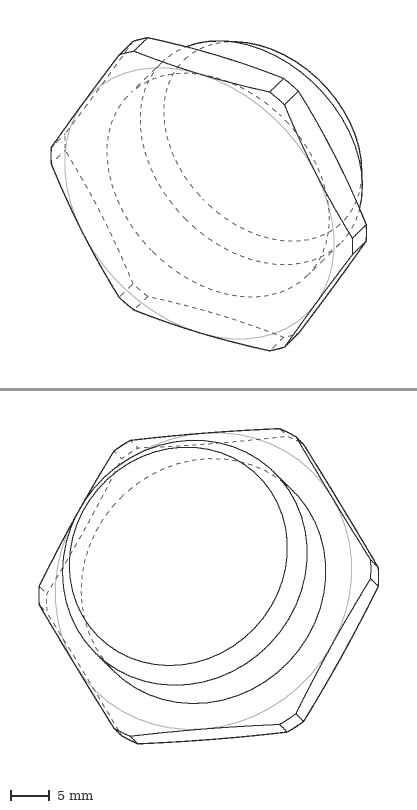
import cadquery as cq
import math

across_flats = 40.0
corner_diameter = 44.8
head_thickness = 5.0
head_chamfer_angle = 15.0

total_length = 17.0
plug_diameter = 33.0
tip_diameter = 29.45
tip_taper_angle = 30.0


def hexagon_prism():
    """Hexagon with corners on the X axis and flats facing +Z and -Z."""
    across_corners = across_flats / math.cos(math.radians(30))
    return cq.Workplane("XZ").polygon(6, across_corners).extrude(-head_thickness)


def head_envelope():
    """Round disc whose conical chamfers start at the inscribed circle on both faces."""
    face_radius = across_flats / 2
    outer_radius = corner_diameter / 2
    chamfer_depth = (outer_radius - face_radius) * math.tan(math.radians(head_chamfer_angle))
    return (
        cq.Workplane("XY")
        .lineTo(face_radius, 0)
        .lineTo(outer_radius, chamfer_depth)
        .lineTo(outer_radius, head_thickness - chamfer_depth)
        .lineTo(face_radius, head_thickness)
        .lineTo(0, head_thickness)
        .close()
        .revolve(360, (0, 0, 0), (0, 1, 0))
    )


def plug():
    """Solid cylinder with a tapered tip, rooted on the front face so it overlaps the head."""
    plug_radius = plug_diameter / 2
    tip_radius = tip_diameter / 2
    taper_length = (plug_radius - tip_radius) / math.tan(math.radians(tip_taper_angle))
    return (
        cq.Workplane("XY")
        .lineTo(plug_radius, 0)
        .lineTo(plug_radius, total_length - taper_length)
        .lineTo(tip_radius, total_length)
        .lineTo(0, total_length)
        .close()
        .revolve(360, (0, 0, 0), (0, 1, 0))
    )


head = hexagon_prism().intersect(head_envelope())
result = head.union(plug())